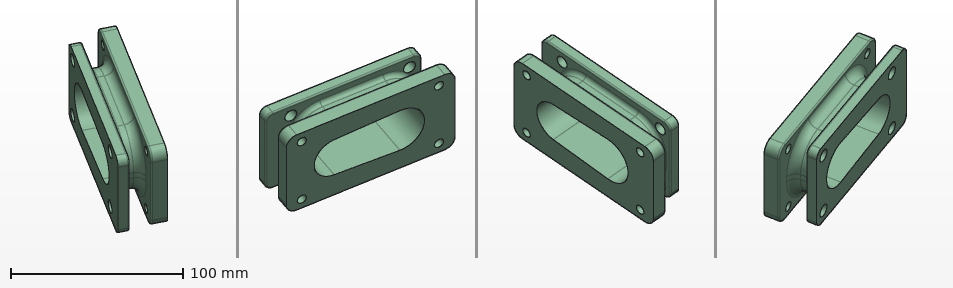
import cadquery as cq
import math

overall_length = 114.1
flange_height = 60.1
left_x = -overall_length / 2
right_x = overall_length / 2
hole_center_x = 0.0

front_length = 105.1
front_thickness = 7.0
front_corner_radius = 5.0
front_hole_diameter = 8.0
front_hole_spacing_x = 80.0
front_hole_spacing_z = 43.9

rear_length = 113.7
rear_thickness = 10.0
rear_corner_radius = 7.0
rear_hole_diameter = 6.0
rear_hole_spacing_x = 92.4
rear_hole_spacing_z = 46.0

flange_edge_radius = 1.0

gap = 13.0
neck_length = 82.6
neck_height = 43.9
neck_corner_radius = 20.0
neck_center_x = -0.9
front_fillet_radius = 3.0
rear_fillet_radius = 5.9

bore_large_radius = 15.9
bore_small_radius = 14.0
bore_large_x = -20.5
bore_small_x = 23.8

front_y = -(front_thickness + gap + rear_thickness) / 2
front_inner_y = front_y + front_thickness
rear_inner_y = front_inner_y + gap
rear_y = rear_inner_y + rear_thickness

front_center_x = right_x - front_length / 2
rear_center_x = left_x + rear_length / 2


def plane_at(x, y):
    """XZ plane at the given origin, with its normal along -Y."""
    return cq.Workplane("XZ", origin=(x, y, 0))


def rounded_block(length, height, corner_radius, center_x, start_y, end_y):
    """Rectangular block along Y with rounded corners in XZ."""
    block = plane_at(center_x, end_y).rect(length, height).extrude(end_y - start_y)
    return block.edges("|Y").fillet(corner_radius)


def hole_pattern(center_x, spacing_x, spacing_z, diameter, start_y, end_y):
    """Four drills at the corners of a rectangle."""
    return (
        plane_at(center_x, end_y)
        .rect(spacing_x, spacing_z, forConstruction=True)
        .vertices()
        .circle(diameter / 2)
        .extrude(end_y - start_y)
    )


def make_front_flange():
    flange = rounded_block(
        front_length, flange_height, front_corner_radius, front_center_x, front_y, front_inner_y
    )
    return flange.faces(">Y").edges().fillet(flange_edge_radius)


def make_rear_flange():
    flange = rounded_block(
        rear_length, flange_height, rear_corner_radius, rear_center_x, rear_inner_y, rear_y
    )
    return flange.faces("<Y").edges().fillet(flange_edge_radius)


def make_neck():
    return rounded_block(
        neck_length, neck_height, neck_corner_radius, neck_center_x, front_inner_y, rear_inner_y
    )


def on_station(y):
    """Selector for edges of the neck outline lying at the given Y."""
    half_x = neck_length / 2 + 0.1
    half_z = neck_height / 2 + 0.1
    half_y = 0.01
    return cq.selectors.BoxSelector(
        (neck_center_x - half_x, y - half_y, -half_z),
        (neck_center_x + half_x, y + half_y, half_z),
    )


def make_bore():
    """Through bore with straight sides tangent to both end circles."""
    tangent_angle = math.acos((bore_large_radius - bore_small_radius) / (bore_small_x - bore_large_x))
    cos_t = math.cos(tangent_angle)
    sin_t = math.sin(tangent_angle)

    def tangent_point(center_x, radius, side):
        return (center_x + radius * cos_t, side * radius * sin_t)

    return (
        plane_at(0, rear_y)
        .moveTo(*tangent_point(bore_large_x, bore_large_radius, 1))
        .lineTo(*tangent_point(bore_small_x, bore_small_radius, 1))
        .threePointArc(
            (bore_small_x + bore_small_radius, 0),
            tangent_point(bore_small_x, bore_small_radius, -1),
        )
        .lineTo(*tangent_point(bore_large_x, bore_large_radius, -1))
        .threePointArc(
            (bore_large_x - bore_large_radius, 0),
            tangent_point(bore_large_x, bore_large_radius, 1),
        )
        .close()
        .extrude(rear_y - front_y)
    )


body = make_front_flange().union(make_neck()).union(make_rear_flange())
body = body.edges(on_station(front_inner_y)).fillet(front_fillet_radius)
body = body.edges(on_station(rear_inner_y)).fillet(rear_fillet_radius)

front_holes = hole_pattern(
    hole_center_x,
    front_hole_spacing_x,
    front_hole_spacing_z,
    front_hole_diameter,
    front_y,
    front_inner_y + front_fillet_radius,
)
rear_holes = hole_pattern(
    hole_center_x,
    rear_hole_spacing_x,
    rear_hole_spacing_z,
    rear_hole_diameter,
    rear_inner_y,
    rear_y,
)

result = body.cut(front_holes).cut(rear_holes).cut(make_bore())